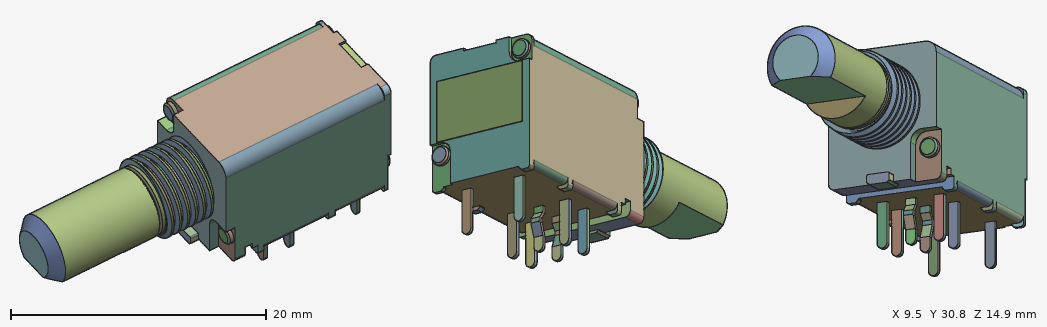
import cadquery as cq


body_width = 9.5
body_top = 4.85
body_bottom = -6.25
body_back = 15.7
half_width = body_width / 2
body_height = body_top - body_bottom
back_slab_thickness = 0.65
back_slab_front = body_back - back_slab_thickness
top_radius = 1.0
back_top_radius = 0.55
bottom_radius = 0.5

gap_front = 1.85
gap_middle = 2.53
gap_back = 3.08
gap_height = 1.23
gap_step_height = 0.75

top_recess_width = 3.08
top_recess_depth = 0.22

rivet_x = 3.82
rivet_z = 3.65
rivet_radius = 0.8
rivet_chamfer = 0.15
front_recess_depth = 0.85
front_recess_x = 2.5
front_recess_z = 2.25
recess_radius = 1.0
front_rivet_height = 0.5
back_recess_depth = 0.3
back_recess_x = 2.8
back_recess_z = 2.62
back_plate_thickness = 0.1
back_plate_width = 8.13
back_plate_height = 5.1
back_rivet_height = back_recess_depth + back_plate_thickness

foot_spans = [(body_back, back_slab_front), (10.4, 9.75), (3.63, gap_back)]
foot_width = 1.08
foot_drop = 0.3
foot_side_height = 0.92
foot_outer_radius = 0.25
foot_inner_chamfer = 0.25

lug_width = 1.97
lug_top = -5.65
lug_bottom = -6.47
lug_back = front_recess_depth
lug_front = -0.77
lug_top_radius = 0.12
lug_bottom_chamfer = 0.2

thread_radius = 3.48
root_radius = 3.1
thread_length = 4.5
thread_turns = 6
thread_pitch = thread_length / thread_turns
first_crest = 0.4
thread_start = first_crest - 2 * thread_pitch
crest_width = 0.22
base_width = 0.68
root_overlap = 0.1
neck_radius = 3.0
neck_length = 5.0
neck_chamfer = 0.2

shaft_radius = 3.0
shaft_length = 15.0
shaft_start = 5.08
shaft_core_radius = 2.83
tip_chamfer = 1.0
flat_start = 8.0
flat_z = -1.5

terminal_tip = -10.0
terminal_width = 0.85
terminal_root = body_bottom + 0.3
terminal_x = 2.5
switch_row = 13.83
switch_thickness = 0.28
rear_row = 7.5
front_row = 5.02
terminal_thickness = 0.37
bent_thickness = 0.3
bend_offset = 0.4
bend_levels = [-6.8, -7.33, -7.7, -8.78]


def box(x_min, x_max, y_min, y_max, z_min, z_max):
    size = (x_max - x_min, y_max - y_min, z_max - z_min)
    return cq.Workplane("XY").box(*size, centered=False).translate((x_min, y_min, z_min))


def along_shaft(shape):
    """Turn a shape built along +Z so that it points along -Y."""
    return shape.rotate((0, 0, 0), (1, 0, 0), 90)


def cylinder(radius, start, length):
    return along_shaft(cq.Workplane("XY").workplane(offset=start).circle(radius).extrude(length))


def opposite_corner(shape):
    return shape.rotate((0, 0, 0), (0, 1, 0), 180)


def housing():
    main = box(-half_width, half_width, 0, back_slab_front, body_bottom, body_top)
    main = main.edges("|Y and >Z").fillet(top_radius)
    main = main.edges("|Y and <Z").fillet(bottom_radius)
    slab = box(-half_width, half_width, back_slab_front, body_back, body_bottom, body_top)
    slab = slab.edges("|Y and >Z").fillet(back_top_radius)
    half_recess = top_recess_width / 2
    recess_floor = body_top - top_recess_depth
    recess = box(-half_recess, half_recess, back_slab_front, body_back, recess_floor, body_top)
    return main.union(slab.cut(recess))


def feet():
    parts = cq.Workplane("XY")
    inner = half_width - foot_width
    bottom = body_bottom - foot_drop
    for rear, front in foot_spans:
        foot = box(-half_width, -inner, front, rear, bottom, body_bottom + foot_side_height)
        foot = foot.edges("|Y and <Z and <X").fillet(foot_outer_radius)
        foot = foot.edges("|Y and <Z and >X").chamfer(foot_inner_chamfer)
        parts = parts.add(foot).add(foot.mirror("YZ"))
    return parts.combine()


def underside_gap():
    low = body_bottom - foot_drop
    deep = box(-half_width, half_width, gap_front, gap_middle, low, body_bottom + gap_height)
    step = box(-half_width, half_width, gap_middle, gap_back, low, body_bottom + gap_step_height)
    return deep.union(step)


def corner_recess(x_inner, z_inner, y_min, y_max):
    """Cutter for the -X, +Z corner; it also clears the longer opposite corner."""
    recess = box(-body_width, -x_inner, y_min, y_max, z_inner, body_height)
    return recess.edges("|Y and >X and <Z").fillet(recess_radius)


def rivet(y_base, y_end):
    """Chamfered rivet head in the -X, +Z corner, standing from y_base to y_end."""
    length = abs(y_end - y_base)
    head = cylinder(rivet_radius, -max(y_base, y_end), length).translate((-rivet_x, 0, rivet_z))
    return head.faces(">Y" if y_end > y_base else "<Y").chamfer(rivet_chamfer)


def locating_lug():
    half = lug_width / 2
    lug = box(-half, half, lug_front, lug_back, lug_bottom, lug_top)
    lug = lug.edges("|Y and >Z").fillet(lug_top_radius)
    return lug.edges("|Y and <Z").chamfer(lug_bottom_chamfer)


def back_plate():
    half_x = back_plate_width / 2
    half_z = back_plate_height / 2
    return box(-half_x, half_x, body_back, body_back + back_plate_thickness, -half_z, half_z)


def thread():
    base_radius = root_radius - root_overlap
    height = thread_length - thread_start + thread_pitch
    helix = cq.Wire.makeHelix(thread_pitch, height, base_radius)
    profile = cq.Workplane("XZ").polyline([
        (base_radius, -base_width / 2),
        (thread_radius, -crest_width / 2),
        (thread_radius, crest_width / 2),
        (base_radius, base_width / 2),
    ]).close()
    ridge = profile.sweep(cq.Workplane(obj=helix), isFrenet=True)
    return along_shaft(ridge.translate((0, 0, thread_start)))


def bushing():
    neck = cylinder(neck_radius, 0, neck_length).faces("<Y").chamfer(neck_chamfer)
    core_length = thread_length - thread_start + 3 * thread_pitch
    core = cylinder(root_radius, thread_start - thread_pitch, core_length)
    threaded = core.union(thread()).intersect(cylinder(2 * thread_radius, 0, thread_length))
    return threaded.union(neck)


def shaft():
    core = cylinder(shaft_core_radius, 0, shaft_start)
    bar = cylinder(shaft_radius, shaft_start, shaft_length - shaft_start)
    bar = bar.faces("<Y").chamfer(tip_chamfer)
    flat = box(-shaft_radius, shaft_radius, -shaft_length, -flat_start, -shaft_radius, flat_z)
    return core.union(bar.cut(flat))


def blade(x, y_min, y_max):
    """Flat blade with a fully rounded tip."""
    radius = terminal_width / 2
    tip_centre = terminal_tip + radius
    bar = box(x - radius, x + radius, y_min, y_max, tip_centre, terminal_root)
    tip = cylinder(radius, -y_max, y_max - y_min).translate((x, 0, tip_centre))
    return bar.union(tip)


def straight_terminal(x, y, thickness):
    return blade(x, y - thickness / 2, y + thickness / 2)


def bent_terminal(y, side):
    """Centre terminal whose middle is kinked outwards along Y (side is +1 or -1)."""
    kink_start, peak_start, peak_end, kink_end = bend_levels
    half = bent_thickness / 2
    reach = bend_offset + bent_thickness
    path = [
        (0, terminal_root),
        (0, kink_start),
        (bend_offset, peak_start),
        (bend_offset, peak_end),
        (0, kink_end),
        (0, terminal_tip),
    ]
    outer = [(y + side * (offset + half), z) for offset, z in path]
    inner = [(y + side * (offset - half), z) for offset, z in reversed(path)]
    strip = cq.Workplane("YZ").polyline(outer + inner).close()
    strip = strip.extrude(terminal_width / 2, both=True)
    return strip.intersect(blade(0, y - reach, y + reach))


def terminals():
    parts = cq.Workplane("XY")
    rows = [
        (switch_row, switch_thickness),
        (rear_row, terminal_thickness),
        (front_row, terminal_thickness),
    ]
    for y, thickness in rows:
        for x in (-terminal_x, terminal_x):
            parts = parts.add(straight_terminal(x, y, thickness))
    parts = parts.add(bent_terminal(rear_row, 1))
    parts = parts.add(bent_terminal(front_row, -1))
    return parts.combine()


front_recess = corner_recess(front_recess_x, front_recess_z, 0, front_recess_depth)
back_recess_floor = body_back - back_recess_depth
back_recess = corner_recess(back_recess_x, back_recess_z, back_recess_floor, body_back)
front_rivet = rivet(front_recess_depth, front_recess_depth - front_rivet_height)
back_rivet = rivet(back_recess_floor, back_recess_floor + back_rivet_height)

result = housing().union(feet()).cut(underside_gap())
for recess in (front_recess, back_recess):
    result = result.cut(recess).cut(opposite_corner(recess))
for head in (front_rivet, back_rivet):
    result = result.union(head).union(opposite_corner(head))
for feature in (back_plate(), locating_lug(), terminals(), bushing(), shaft()):
    result = result.union(feature)